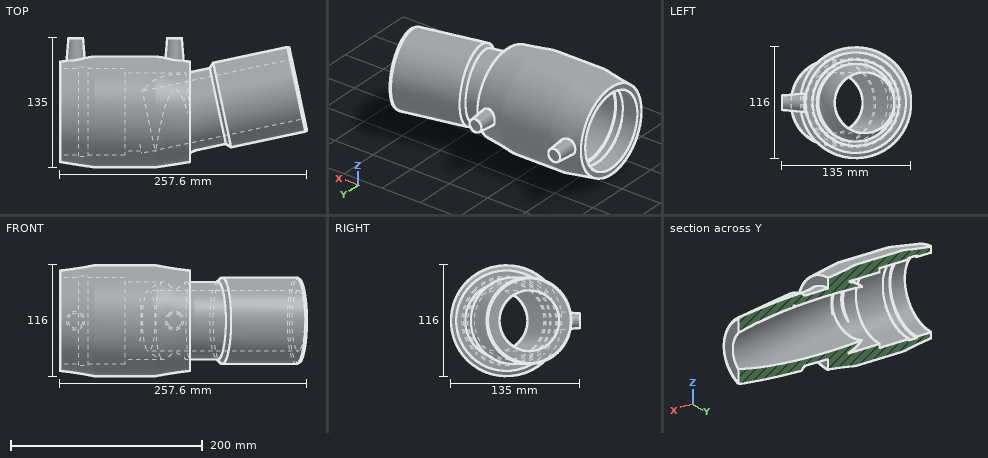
import cadquery as cq

sleeve_length = 135.5
sleeve_radius = 116.0 / 2
sleeve_end_radius = 104.8 / 2
taper_length = 35.8

socket_radius = 90.1 / 2
socket_depth = sleeve_length / 2
groove_radius = 93.2 / 2
groove_start = 19.0
groove_width = 10.0
bore_radius = 81.0 / 2

outlet_angle = 12.0
outlet_length = 115.4
outlet_bore_radius = 63.3 / 2
neck_radius = 81.0 / 2
spigot_radius = 90.5 / 2
spigot_start = 34.3
tip_chamfer_depth = 1.0
tip_chamfer_length = 2.0

ball_radius = 42.5
ball_setback = 15.7

terminal_inset = 16.2
terminal_top_y = 77.0
terminal_top_radius = 7.7
terminal_root_y = 49.0
terminal_root_radius = 10.0


def revolve_about_x(points):
    """Revolve a closed XY outline about the X axis."""
    outline = cq.Workplane("XY").polyline(points).close()
    return outline.revolve(360, (0, 0, 0), (1, 0, 0))


def along_outlet(body):
    """Move a body built along +X from the origin onto the outlet axis."""
    tilted = body.rotate((0, 0, 0), (0, 0, 1), outlet_angle)
    return tilted.translate((sleeve_length, 0, 0))


def make_sleeve():
    return revolve_about_x([
        (0, 0),
        (0, sleeve_end_radius),
        (taper_length, sleeve_radius),
        (sleeve_length - taper_length, sleeve_radius),
        (sleeve_length, sleeve_end_radius),
        (sleeve_length, 0),
    ])


def make_outlet():
    shoulder_length = spigot_radius - neck_radius
    pipe = revolve_about_x([
        (-ball_setback, 0),
        (-ball_setback, neck_radius),
        (spigot_start - shoulder_length, neck_radius),
        (spigot_start, spigot_radius),
        (outlet_length - tip_chamfer_length, spigot_radius),
        (outlet_length, spigot_radius - tip_chamfer_depth),
        (outlet_length, 0),
    ])
    ball = cq.Workplane("XY").sphere(ball_radius).translate((-ball_setback, 0, 0))
    return along_outlet(pipe.union(ball))


def make_terminal(x):
    return (
        cq.Workplane("XY")
        .moveTo(x, terminal_root_y)
        .lineTo(x + terminal_root_radius, terminal_root_y)
        .lineTo(x + terminal_top_radius, terminal_top_y)
        .lineTo(x, terminal_top_y)
        .close()
        .revolve(360, (x, 0, 0), (x, 1, 0))
    )


def make_sleeve_bore():
    groove_end = groove_start + groove_width
    return revolve_about_x([
        (0, 0),
        (0, socket_radius),
        (groove_start, socket_radius),
        (groove_start, groove_radius),
        (groove_end, groove_radius),
        (groove_end, socket_radius),
        (socket_depth, socket_radius),
        (socket_depth, bore_radius),
        (sleeve_length, bore_radius),
        (sleeve_length, 0),
    ])


def make_outlet_bore():
    start = -ball_setback - ball_radius
    bore = cq.Workplane("YZ").workplane(offset=start).circle(outlet_bore_radius)
    return along_outlet(bore.extrude(outlet_length - start))


result = make_sleeve().cut(make_sleeve_bore()).union(make_outlet())
result = result.cut(make_outlet_bore())
for terminal_x in (terminal_inset, sleeve_length - terminal_inset):
    result = result.union(make_terminal(terminal_x))